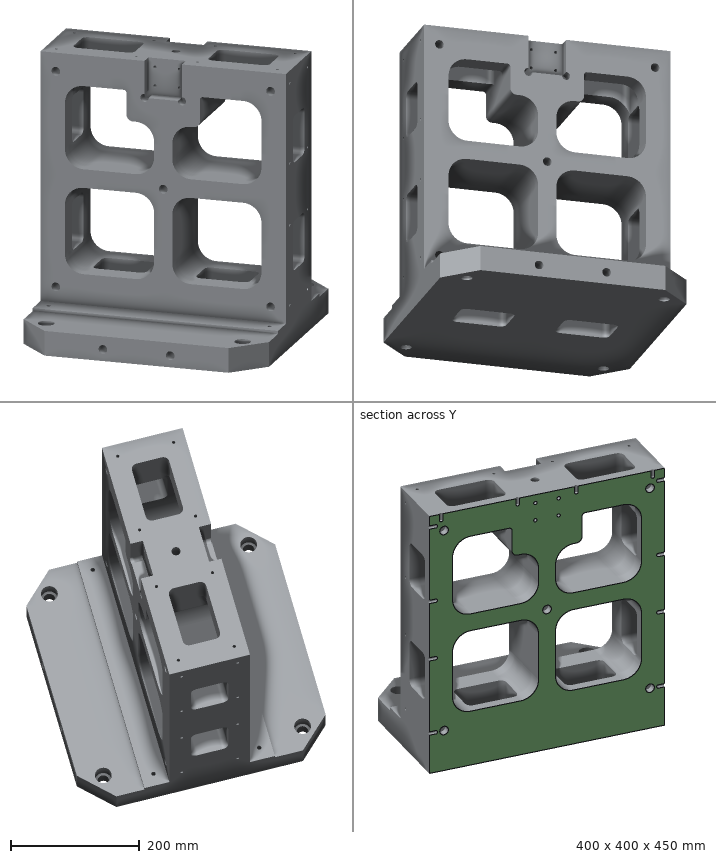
import cadquery as cq
import math

BASE_SIDE = 400.0
BASE_HEIGHT = 40.0
BASE_CHAMFER = 50.0
BOLT_OFFSET = 160.0
BOLT_DIAMETER = 18.0
BOLT_HEAD_DIAMETER = 26.0
BOLT_HEAD_DEPTH = 20.0
EDGE_HOLE_X = 55.0
EDGE_HOLE_Z = 19.0

LEDGE_HALF_WIDTH = 105.0
LEDGE_TOP = 45.0
LEDGE_HOLE_X = 180.0
LEDGE_HOLE_Y = 85.0

TOTAL_HEIGHT = 450.0
TOWER_HALF_DEPTH = 65.0

WINDOW_OUTER_X = 160.0
WINDOW_INNER_X = 15.0
WINDOW_RADIUS = 30.0
UPPER_WINDOW_TOP = TOTAL_HEIGHT - 50.0
UPPER_WINDOW_BOTTOM = TOTAL_HEIGHT - 185.0
LOWER_WINDOW_TOP = TOTAL_HEIGHT - 215.0
LOWER_WINDOW_BOTTOM = TOTAL_HEIGHT - 355.0
STEP_X = 60.0
STEP_BOTTOM = TOTAL_HEIGHT - 100.0
STEP_CORNER_RADIUS = 10.0
STEP_ROOT_RADIUS = 5.0

OPENING_WIDTH = 60.0
OPENING_RADIUS = 10.0
TOP_SHAFT_X = (STEP_X, WINDOW_OUTER_X)
FLOOR_SHAFT_X = (40.0, 128.0)
SIDE_OPENINGS = (
    (TOTAL_HEIGHT - 80.0, TOTAL_HEIGHT - 155.5),
    (TOTAL_HEIGHT - 250.0, TOTAL_HEIGHT - 330.5),
)

RECESS_HALF_WIDTH = 30.5
RECESS_HEIGHT = 60.0
RECESS_DEPTH = 20.0
RELIEF_DIAMETER = 13.0
RECESS_HOLE_X = 20.0
RECESS_HOLE_DROPS = (15.0, 45.0)

LARGE_DIAMETER = 14.0
LARGE_DEPTH = 30.0
SMALL_DIAMETER = 5.0
SMALL_DEPTH = 12.0
LEDGE_HOLE_DIAMETER = 6.8
LEDGE_HOLE_DEPTH = 15.0
DRILL_POINT_ANGLE = 118.0
FACE_HOLE_X = 175.0
FACE_HOLE_DROPS = (30.0, 380.0)
FACE_CENTRE_DROP = 205.0
SMALL_HOLE_Y = 45.0
TOP_HOLE_X = (50.0, 180.0)
SIDE_HOLE_DROPS = (20.0, 150.0, 250.0, 380.0)

BOTH_SIDES = (-1, 1)
HALF_SIDE = BASE_SIDE / 2


def box(x_range, y_range, z_range):
    """Box between the given limits, each range in either order."""
    ranges = (sorted(x_range), sorted(y_range), sorted(z_range))
    sizes = [high - low for low, high in ranges]
    corner = tuple(low for low, high in ranges)
    return cq.Workplane("XY").box(*sizes, centered=False).translate(corner)


def flat_hole(point, direction, diameter, depth):
    """Flat-bottomed cylinder that starts at point and runs along direction."""
    return cq.Solid.makeCylinder(diameter / 2, depth, cq.Vector(*point), cq.Vector(*direction))


def drilled_hole(point, direction, diameter, depth):
    """Cylinder with a conical drill point beyond its full-diameter depth."""
    radius = diameter / 2
    axis = cq.Vector(*direction)
    tip_start = cq.Vector(*point) + axis * depth
    tip_length = radius / math.tan(math.radians(DRILL_POINT_ANGLE / 2))
    tip = cq.Solid.makeCone(radius, 0, tip_length, tip_start, axis)
    return flat_hole(point, direction, diameter, depth).fuse(tip)


def body():
    base = box((-HALF_SIDE, HALF_SIDE), (-HALF_SIDE, HALF_SIDE), (0, BASE_HEIGHT))
    base = base.edges("|Z").chamfer(BASE_CHAMFER)
    ledge = box((-HALF_SIDE, HALF_SIDE), (-LEDGE_HALF_WIDTH, LEDGE_HALF_WIDTH), (0, LEDGE_TOP))
    tower = box((-HALF_SIDE, HALF_SIDE), (-TOWER_HALF_DEPTH, TOWER_HALF_DEPTH), (0, TOTAL_HEIGHT))
    return base.union(ledge).union(tower)


def window(side, bottom, top):
    """Rounded window through the tower on one side of the centre rib."""
    x_range = (side * WINDOW_INNER_X, side * WINDOW_OUTER_X)
    y_range = (-TOWER_HALF_DEPTH, TOWER_HALF_DEPTH)
    return box(x_range, y_range, (bottom, top)).edges("|Y").fillet(WINDOW_RADIUS)


def upper_window(side):
    """Upper window, stepped around the block that backs the recesses."""
    inner_x = side * WINDOW_INNER_X
    step_x = side * STEP_X
    outer_x = side * WINDOW_OUTER_X
    profile = [
        (inner_x, UPPER_WINDOW_BOTTOM),
        (inner_x, STEP_BOTTOM),
        (step_x, STEP_BOTTOM),
        (step_x, UPPER_WINDOW_TOP),
        (outer_x, UPPER_WINDOW_TOP),
        (outer_x, UPPER_WINDOW_BOTTOM),
    ]
    depth = 2 * TOWER_HALF_DEPTH
    back_plane = cq.Workplane("XZ", origin=(0, TOWER_HALF_DEPTH, 0))
    cutter = back_plane.polyline(profile).close().extrude(depth)

    def edge_at(x, z):
        return cq.selectors.NearestToPointSelector((x, 0, z))

    cutter = cutter.edges(edge_at(step_x, STEP_BOTTOM)).fillet(STEP_CORNER_RADIUS)
    cutter = cutter.edges(edge_at(step_x, UPPER_WINDOW_TOP)).fillet(STEP_ROOT_RADIUS)
    large_corners = [profile[0], profile[1], profile[4], profile[5]]
    for x, z in large_corners:
        cutter = cutter.edges(edge_at(x, z)).fillet(WINDOW_RADIUS)
    return cutter


def shaft(side, x_limits, bottom, top):
    """Vertical rounded opening through a horizontal wall."""
    x_range = [side * x for x in x_limits]
    y_range = (-OPENING_WIDTH / 2, OPENING_WIDTH / 2)
    return box(x_range, y_range, (bottom, top)).edges("|Z").fillet(OPENING_RADIUS)


def side_opening(side, bottom, top):
    """Rounded opening through an end wall into a window."""
    x_range = (side * (WINDOW_OUTER_X - WINDOW_RADIUS), side * HALF_SIDE)
    y_range = (-OPENING_WIDTH / 2, OPENING_WIDTH / 2)
    return box(x_range, y_range, (bottom, top)).edges("|X").fillet(OPENING_RADIUS)


def recess(face):
    """Slot open at the top, with round reliefs in both lower corners."""
    floor_y = face * (TOWER_HALF_DEPTH - RECESS_DEPTH)
    bottom = TOTAL_HEIGHT - RECESS_HEIGHT
    x_limits = (-RECESS_HALF_WIDTH, RECESS_HALF_WIDTH)
    slot = box(x_limits, (floor_y, face * TOWER_HALF_DEPTH), (bottom, TOTAL_HEIGHT))
    for x in x_limits:
        relief = flat_hole((x, floor_y, bottom), (0, face, 0), RELIEF_DIAMETER, RECESS_DEPTH)
        slot = slot.union(cq.Workplane(relief))
    return slot


def window_cutters():
    cutters = []
    for side in BOTH_SIDES:
        cutters.append(upper_window(side))
        cutters.append(window(side, LOWER_WINDOW_BOTTOM, LOWER_WINDOW_TOP))
        cutters.append(shaft(side, TOP_SHAFT_X, UPPER_WINDOW_TOP - WINDOW_RADIUS, TOTAL_HEIGHT))
        cutters.append(shaft(side, FLOOR_SHAFT_X, 0, LOWER_WINDOW_BOTTOM + WINDOW_RADIUS))
        for top, bottom in SIDE_OPENINGS:
            cutters.append(side_opening(side, bottom, top))
    return [cutter.val() for cutter in cutters]


def base_holes():
    holes = []
    for side in BOTH_SIDES:
        for face in BOTH_SIDES:
            bolt = (side * BOLT_OFFSET, face * BOLT_OFFSET)
            holes.append(flat_hole((*bolt, 0), (0, 0, 1), BOLT_DIAMETER, BASE_HEIGHT))
            holes.append(flat_hole((*bolt, BASE_HEIGHT), (0, 0, -1), BOLT_HEAD_DIAMETER, BOLT_HEAD_DEPTH))
            edge = (side * EDGE_HOLE_X, face * HALF_SIDE, EDGE_HOLE_Z)
            holes.append(drilled_hole(edge, (0, -face, 0), LARGE_DIAMETER, LARGE_DEPTH))
            ledge = (side * LEDGE_HOLE_X, face * LEDGE_HOLE_Y, LEDGE_TOP)
            holes.append(drilled_hole(ledge, (0, 0, -1), LEDGE_HOLE_DIAMETER, LEDGE_HOLE_DEPTH))
    return holes


def face_holes():
    """Holes in the front and back faces and in the recess floors."""
    holes = []
    for face in BOTH_SIDES:
        inward = (0, -face, 0)
        face_y = face * TOWER_HALF_DEPTH
        floor_y = face * (TOWER_HALF_DEPTH - RECESS_DEPTH)
        centre = (0, face_y, TOTAL_HEIGHT - FACE_CENTRE_DROP)
        holes.append(flat_hole(centre, inward, LARGE_DIAMETER, LARGE_DEPTH))
        for side in BOTH_SIDES:
            for drop in FACE_HOLE_DROPS:
                corner = (side * FACE_HOLE_X, face_y, TOTAL_HEIGHT - drop)
                holes.append(flat_hole(corner, inward, LARGE_DIAMETER, LARGE_DEPTH))
            for drop in RECESS_HOLE_DROPS:
                point = (side * RECESS_HOLE_X, floor_y, TOTAL_HEIGHT - drop)
                holes.append(drilled_hole(point, inward, SMALL_DIAMETER, SMALL_DEPTH))
    return holes


def top_and_side_holes():
    holes = [drilled_hole((0, 0, TOTAL_HEIGHT), (0, 0, -1), LARGE_DIAMETER, LARGE_DEPTH)]
    for side in BOTH_SIDES:
        for y in (-SMALL_HOLE_Y, SMALL_HOLE_Y):
            for x in TOP_HOLE_X:
                point = (side * x, y, TOTAL_HEIGHT)
                holes.append(drilled_hole(point, (0, 0, -1), SMALL_DIAMETER, SMALL_DEPTH))
            for drop in SIDE_HOLE_DROPS:
                point = (side * HALF_SIDE, y, TOTAL_HEIGHT - drop)
                holes.append(drilled_hole(point, (-side, 0, 0), SMALL_DIAMETER, SMALL_DEPTH))
    return holes


recesses = [recess(face).val() for face in BOTH_SIDES]
cutters = window_cutters() + recesses + base_holes() + face_holes() + top_and_side_holes()
result = cq.Workplane(body().val().cut(*cutters).Solids()[0])